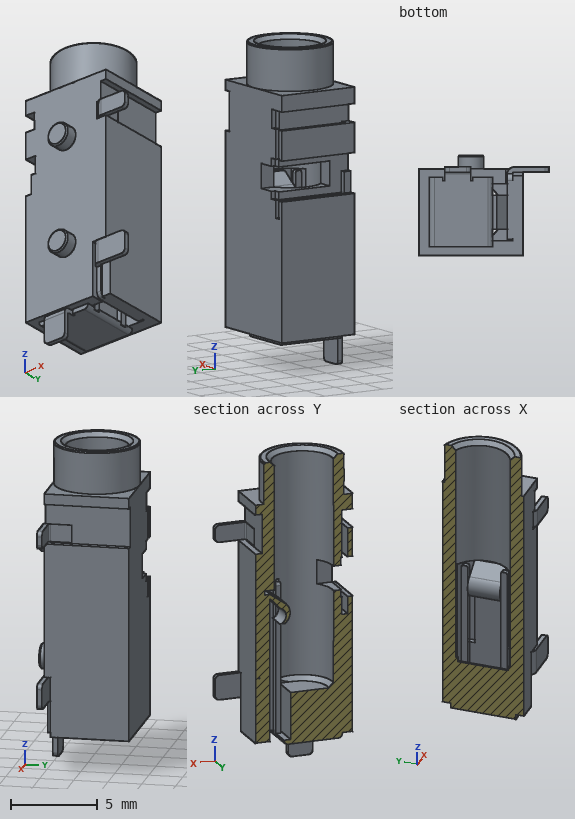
import cadquery as cq
import math

BODY_X = 6.0
BODY_Y = 5.0
BODY_Z = 14.5
LEFT = -BODY_X / 2
RIGHT = BODY_X / 2
FRONT = -BODY_Y / 2
BACK = BODY_Y / 2

TUBE_HEIGHT = 2.5
TUBE_TOP = BODY_Z + TUBE_HEIGHT
TUBE_RADIUS = BODY_Y / 2
TUBE_CHAMFER = 0.08
MOUTH_RADIUS = 2.09
BORE_RADIUS = 1.82
MOUTH_DEPTH = MOUTH_RADIUS - BORE_RADIUS
FLOOR_RADIUS = 1.54
FLOOR_Z = 2.85
FLOOR_TAPER = BORE_RADIUS - FLOOR_RADIUS

PEG_RADIUS = 0.75
PEG_LENGTH = 0.8
PEG_CHAMFER = 0.1
PEG_HEIGHTS = (4.0, 11.0)

UPPER_GROOVE_Z = (12.43, 13.53)
UPPER_GROOVE_DEPTH = 0.65
LOWER_GROOVE_Z = (8.26, 10.65)
LOWER_GROOVE_DEPTH = 0.7
BACK_STRIP = 0.25
BACK_STRIP_DEPTH = 0.4
STEP_TOP = 9.52
STEP_WIDTH = 0.45
STEP_DEPTH = 0.4
CHANNEL_LIP = 0.32
CHANNEL_BOTTOM = 7.22

WINDOW_Z = (8.72, 10.18)
WINDOW_FRONT = -1.24
WINDOW_END_X = -0.82

CHAMBER_LEFT = 0.84
CHAMBER_TOP = 9.18
CHAMBER_HALF_WIDTH = 1.63

SHEET = 0.3
INNER_BEND = 0.1
OUTER_BEND = INNER_BEND + SHEET
PAD_STANDOFF = 0.11
PAD_FACE = FRONT - PAD_STANDOFF
TIP_RADIUS = 0.27
PAD_END = 4.5

UPPER_PAD_LEFT = 2.32
UPPER_PAD_Z = (11.57, 12.62)
UPPER_LEG_BACK = -0.95
UPPER_NOTCH_Z = (11.51, 13.87)
UPPER_NOTCH_X = 2.6

LOWER_PAD_LEFT = 2.09
LOWER_PAD_Z = (2.0, 3.5)
SLOT_X = (2.01, LOWER_PAD_LEFT + SHEET)
SLOT_TOP = 3.55
CORNER_DEPTH = 0.38
CONTACT_CORNER = 0.36

TONGUE_WIDTH = 1.98
TONGUE_TOP = 8.97
TONGUE_BEND_X = 1.18
TONGUE_BEND_Z = (7.07, 8.32)

BASE_X = (-2.4, 1.25)
BASE_Y = (-2.01, 2.0)
BASE_EDGE_RADIUS = 0.28
TAB_X = (-1.52, 0.0)
TAB_DROP = 2.0
TAB_RELIEF = 0.11
RELIEF_LENGTH = 0.19
POST_Y = (1.0, 1.4)
POST_TOP = 9.12
POST_TOP_RADIUS = 0.13


def box(x, y, z):
    """Axis-aligned block from (low, high) pairs."""
    size = (x[1] - x[0], y[1] - y[0], z[1] - z[0])
    return cq.Workplane("XY").box(*size, centered=False).translate((x[0], y[0], z[0]))


def bent_strip(plane, leg_end, flat_end, width_span):
    """Strip with a right-angle bend, extruded across its width.

    In the plane, the corner of the outer faces is the local origin. The leg runs along
    local y up to leg_end and the flat runs along local x up to flat_end.
    """
    diagonal = math.sqrt(0.5)
    outer_mid = OUTER_BEND * (1 - diagonal)
    inner_mid = OUTER_BEND - INNER_BEND * diagonal
    return (
        cq.Workplane(plane)
        .workplane(offset=width_span[0])
        .moveTo(0, leg_end)
        .lineTo(0, OUTER_BEND)
        .threePointArc((outer_mid, outer_mid), (OUTER_BEND, 0))
        .lineTo(flat_end, 0)
        .lineTo(flat_end, SHEET)
        .lineTo(OUTER_BEND, SHEET)
        .threePointArc((inner_mid, inner_mid), (SHEET, OUTER_BEND))
        .lineTo(SHEET, leg_end)
        .close()
        .extrude(width_span[1] - width_span[0])
    )


def housing():
    block = box((LEFT, RIGHT), (FRONT, BACK), (0, BODY_Z))
    tube = (
        cq.Workplane("XY")
        .workplane(offset=BODY_Z)
        .circle(TUBE_RADIUS)
        .extrude(TUBE_HEIGHT)
        .faces(">Z")
        .chamfer(TUBE_CHAMFER)
    )
    pegs = (
        cq.Workplane("XZ", origin=(0, FRONT, 0))
        .pushPoints([(0, z) for z in PEG_HEIGHTS])
        .circle(PEG_RADIUS)
        .extrude(PEG_LENGTH)
        .faces("<Y")
        .chamfer(PEG_CHAMFER)
    )
    return block.union(tube).union(pegs)


def bore():
    """Plug bore with a flared mouth and a tapered floor."""
    return (
        cq.Workplane("XZ")
        .moveTo(0, FLOOR_Z)
        .lineTo(FLOOR_RADIUS, FLOOR_Z)
        .lineTo(BORE_RADIUS, FLOOR_Z + FLOOR_TAPER)
        .lineTo(BORE_RADIUS, TUBE_TOP - MOUTH_DEPTH)
        .lineTo(MOUTH_RADIUS, TUBE_TOP)
        .lineTo(0, TUBE_TOP)
        .close()
        .revolve(360, (0, 0, 0), (0, 1, 0))
    )


def groove(z, depth):
    """Groove across the left face, deeper in a narrow strip at the back."""
    main = box((LEFT, LEFT + depth), (FRONT, BACK), z)
    strip = box((LEFT, LEFT + depth + BACK_STRIP_DEPTH), (BACK - BACK_STRIP, BACK), z)
    return main.union(strip)


def left_side_cuts():
    step_back = FRONT + STEP_WIDTH
    step = box((LEFT + STEP_DEPTH, 0), (FRONT, step_back), (LOWER_GROOVE_Z[0], STEP_TOP))
    lower = groove(LOWER_GROOVE_Z, LOWER_GROOVE_DEPTH).cut(step)
    upper = groove(UPPER_GROOVE_Z, UPPER_GROOVE_DEPTH)
    channel = box(
        (LEFT + CHANNEL_LIP, LEFT + UPPER_GROOVE_DEPTH),
        (step_back, BACK),
        (CHANNEL_BOTTOM, UPPER_GROOVE_Z[1]),
    )
    window = box((LEFT, WINDOW_END_X), (WINDOW_FRONT, BACK), WINDOW_Z)
    return lower.union(upper).union(channel).union(window)


def right_side_cuts():
    notch = box((UPPER_NOTCH_X, RIGHT), (FRONT, BACK), UPPER_NOTCH_Z)
    pad_seat = box(
        (UPPER_PAD_LEFT, RIGHT),
        (FRONT, PAD_FACE + OUTER_BEND),
        (UPPER_NOTCH_Z[0], UPPER_PAD_Z[1]),
    )
    chamber_y = (-CHAMBER_HALF_WIDTH, CHAMBER_HALF_WIDTH)
    chamber = box((CHAMBER_LEFT, SLOT_X[1]), chamber_y, (0, CHAMBER_TOP))
    slot = box(SLOT_X, (FRONT, 0), (0, SLOT_TOP))
    corner = box((SLOT_X[1], RIGHT), (FRONT, FRONT + CORNER_DEPTH), (0, SLOT_TOP))
    floor_link = box(
        (0, CHAMBER_LEFT),
        (-FLOOR_RADIUS, FLOOR_RADIUS),
        (FLOOR_Z, FLOOR_Z + FLOOR_TAPER),
    )
    chamber = chamber.union(floor_link)
    return notch.union(pad_seat).union(chamber).union(slot).union(corner)


def side_pad(left, z, leg_back):
    """Solder pad reaching out to the right, with its leg turned into the housing."""
    plane = cq.Plane(origin=(left, PAD_FACE, 0), xDir=(1, 0, 0), normal=(0, 0, 1))
    pad = bent_strip(plane, leg_back - PAD_FACE, PAD_END - left, z)
    return pad.edges("|Y and >X").fillet(TIP_RADIUS)


def lower_terminal():
    """Lower pad with its upright contact plate and spring tongue."""
    pad = side_pad(LOWER_PAD_LEFT, LOWER_PAD_Z, FLOOR_RADIUS)
    plate_front = PAD_FACE + OUTER_BEND
    plate_x = (LOWER_PAD_LEFT, SLOT_X[1])
    plate = box(plate_x, (plate_front, FLOOR_RADIUS), (0, LOWER_PAD_Z[1]))
    plate = plate.edges("|X and <Y and <Z").fillet(CONTACT_CORNER)
    half_width = TONGUE_WIDTH / 2
    upright = box(plate_x, (-half_width, half_width), (0, TONGUE_TOP))
    bend_bottom, bend_top = TONGUE_BEND_Z
    crest_z = (bend_bottom + bend_top) / 2
    tongue = (
        cq.Workplane("XZ")
        .moveTo(LOWER_PAD_LEFT, TONGUE_TOP)
        .lineTo(TONGUE_BEND_X, bend_top)
        .threePointArc((CHAMBER_LEFT, crest_z), (TONGUE_BEND_X, bend_bottom))
        .lineTo(TONGUE_BEND_X + SHEET, bend_bottom)
        .threePointArc((CHAMBER_LEFT + SHEET, crest_z), (TONGUE_BEND_X + SHEET, bend_top - SHEET))
        .lineTo(LOWER_PAD_LEFT, TONGUE_TOP - SHEET)
        .close()
        .extrude(half_width, both=True)
    )
    return pad.union(plate).union(upright).union(tongue)


def bottom_terminal():
    """Plate under the housing with a tab bent down and two posts rising in the chamber."""
    base = box(BASE_X, BASE_Y, (-SHEET, 0)).edges("|Y and <Z").fillet(BASE_EDGE_RADIUS)
    relief = box(
        (TAB_X[0] - TAB_RELIEF, TAB_X[1] + TAB_RELIEF),
        (BASE_Y[0], BASE_Y[0] + RELIEF_LENGTH),
        (-SHEET, 0),
    )
    plane = cq.Plane(origin=(0, PAD_FACE, 0), xDir=(0, 0, -1), normal=(1, 0, 0))
    tab = bent_strip(plane, -PAD_FACE, TAB_DROP, TAB_X)
    tab = tab.edges("|Y and <Z").fillet(TIP_RADIUS)
    terminal = base.cut(relief).union(tab)
    post_x = (BASE_X[1] - SHEET, BASE_X[1])
    for y in (POST_Y, (-POST_Y[1], -POST_Y[0])):
        post = box(post_x, y, (-SHEET / 2, POST_TOP))
        post = post.edges("|X and >Z").fillet(POST_TOP_RADIUS)
        terminal = terminal.union(post)
    return terminal


result = housing().cut(bore()).cut(left_side_cuts()).cut(right_side_cuts())
result = result.union(side_pad(UPPER_PAD_LEFT, UPPER_PAD_Z, UPPER_LEG_BACK))
result = result.union(lower_terminal()).union(bottom_terminal())